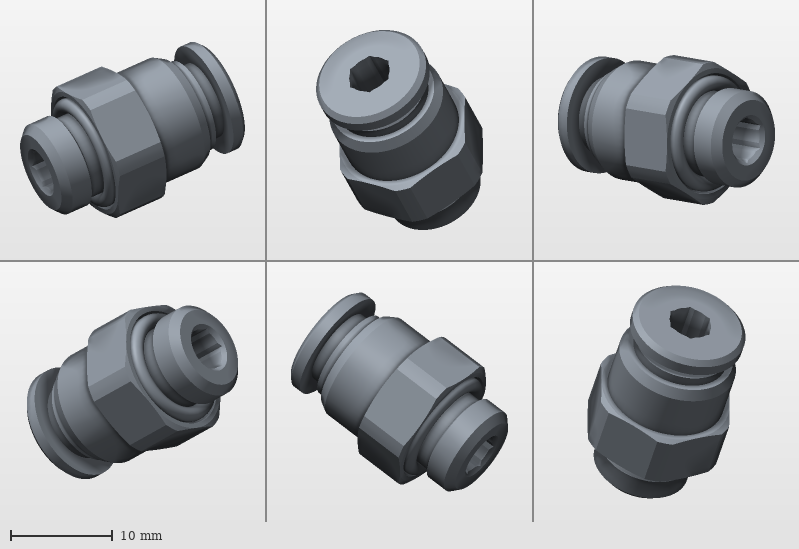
import cadquery as cq
import math


total_length = 20.2
tip_chamfer_length = 0.8
relief_start = 3.0
relief_chamfer_length = 0.3
hex_start = 5.0
hex_length = 5.5
hex_chamfer_length = 0.2
shoulder_end = 16.2
shoulder_chamfer_length = 1.0
sleeve_length = 1.0
flange_thickness = 1.6
flange_chamfer = 0.5

thread_radius = 4.8
tip_radius = thread_radius - tip_chamfer_length
relief_radius = 4.25
hex_across_flats = 13.0
hex_corner_radius = 7.095
hex_face_radius = hex_across_flats / 2
shoulder_radius = 5.92
shoulder_end_radius = 5.36
sleeve_radius = 4.75
collet_radius = 3.93
flange_radius = 5.73

ring_wire_radius = 0.75
ring_centre_radius = relief_radius + ring_wire_radius
ring_protrusion = 0.62
ring_centre_y = hex_start - ring_protrusion + ring_wire_radius
groove_bottom_y = ring_centre_y + ring_wire_radius
groove_mouth_radius = 6.0
groove_bottom_radius = ring_centre_radius + ring_wire_radius

bore_radius = 2.1
key_across_flats = 4.0
mouth_radius = 2.5
mouth_depth = 0.4


def revolve_profile(points):
    """Turn a closed outline of (radius, y) points about the Y axis."""
    return cq.Workplane("XY").polyline(points).close().revolve(360, (0, 0, 0), (0, 1, 0))


def hexagon_prism(across_flats, start_y, length):
    """Hexagonal prism along Y with corners at the top and bottom and flats facing +X and -X."""
    corner_diameter = across_flats / math.cos(math.pi / 6)
    plane = cq.Plane(origin=(0, start_y, 0), xDir=(0, 0, 1), normal=(0, 1, 0))
    return cq.Workplane(plane).polygon(6, corner_diameter).extrude(length)


def make_turned_body():
    """Threaded end, shoulder, sleeve and release collet as one turned shape."""
    relief_end = relief_start + relief_chamfer_length
    sleeve_end = shoulder_end + sleeve_length
    flange_start = total_length - flange_thickness
    return revolve_profile([
        (0, 0),
        (tip_radius, 0),
        (thread_radius, tip_chamfer_length),
        (thread_radius, relief_start),
        (relief_radius, relief_end),
        (relief_radius, hex_start + hex_length / 2),
        (shoulder_radius, hex_start + hex_length / 2),
        (shoulder_radius, shoulder_end - shoulder_chamfer_length),
        (shoulder_end_radius, shoulder_end),
        (sleeve_radius, shoulder_end),
        (sleeve_radius, sleeve_end),
        (collet_radius, sleeve_end),
        (collet_radius, flange_start),
        (flange_radius, flange_start),
        (flange_radius, total_length - flange_chamfer),
        (flange_radius - flange_chamfer, total_length),
        (0, total_length),
    ])


def make_hexagon():
    """Wrench hexagon with rounded corners and chamfered ends."""
    hex_end = hex_start + hex_length
    rounding = revolve_profile([
        (0, hex_start),
        (hex_face_radius, hex_start),
        (hex_corner_radius, hex_start + hex_chamfer_length),
        (hex_corner_radius, hex_end - hex_chamfer_length),
        (hex_face_radius, hex_end),
        (0, hex_end),
    ])
    return hexagon_prism(hex_across_flats, hex_start, hex_length).intersect(rounding)


def make_groove():
    """Tapered ring groove that seats the O-ring around the thread relief."""
    return revolve_profile([
        (relief_radius, hex_start),
        (groove_mouth_radius, hex_start),
        (groove_bottom_radius, groove_bottom_y),
        (relief_radius, groove_bottom_y),
    ])


def make_bore():
    """Through bore with a hexagonal key socket and a conical mouth."""
    round_bore = revolve_profile([
        (0, 0),
        (mouth_radius, 0),
        (bore_radius, mouth_depth),
        (bore_radius, total_length),
        (0, total_length),
    ])
    return round_bore.union(hexagon_prism(key_across_flats, 0, total_length))


def make_fitting():
    blank = make_turned_body().union(make_hexagon())
    return blank.cut(make_groove()).cut(make_bore())


def make_o_ring():
    return (
        cq.Workplane("XY")
        .center(ring_centre_radius, ring_centre_y)
        .circle(ring_wire_radius)
        .revolve(360, (-ring_centre_radius, 0, 0), (-ring_centre_radius, 1, 0))
    )


fitting = make_fitting()
o_ring = make_o_ring()

result = cq.Compound.makeCompound([fitting.val(), o_ring.val()])